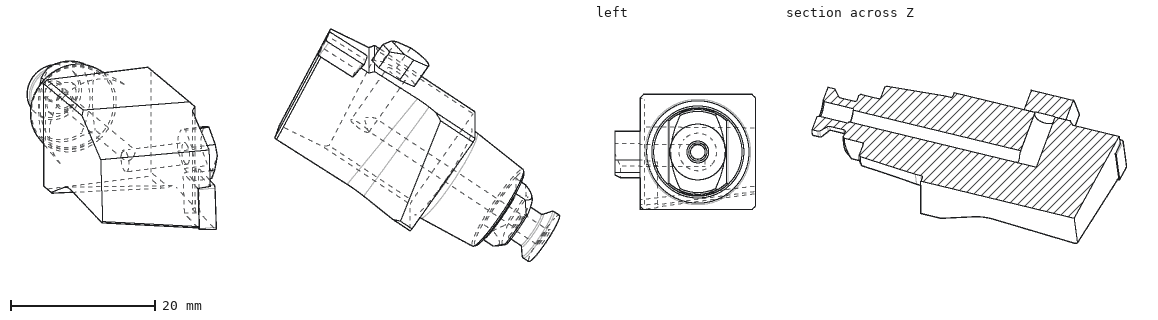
import cadquery as cq
import math


HEAD_SIDE = 16.0
HALF_SIDE = HEAD_SIDE / 2
HEAD_EDGE_CHAMFER = 0.5
TIP_X = 25.0

SLOPE_ANGLE = 30
END_ANGLE = 5
RELIEF_ANGLE = 25
CLEARANCE_ANGLE = 7
CORNER_CUT = 0.35
NEAR_SLOPE_TOP_X = 13.85
NEAR_SLOPE_END_X = 21.92
NEAR_UNDERSIDE_Z = -3.82
NEAR_RELIEF_START_X = 1.85
NEAR_RELIEF_RADIUS = 5.45
FAR_SLOPE_TOP_X = 16.05
FAR_RELIEF_START_X = 5.55
FAR_RELIEF_RADIUS = 3.85

INSERT_CORNER_ANGLE = 80
INSERT_INSCRIBED_DIAMETER = 6.35
INSERT_THICKNESS = 2.4
INSERT_NOSE_RADIUS = 0.4

RECESS_START_X = 16.85
RECESS_FLOOR_X = 17.4
RECESS_DEPTH = 0.65

TAPER_START_X = -9.25
TAPER_END_X = -1.0
TAPER_SMALL_RADIUS = 6.4
TAPER_LARGE_RADIUS = 7.1
TAPER_CHAMFER = 0.25
SHANK_ROOT_FILLET = 0.2

WRENCH_FRONT_X = -12.5
WRENCH_RADIUS = 5.9
WRENCH_ACROSS_FLATS = 8.0
WRENCH_CHAMFER = 0.25
WRENCH_ROOT_FILLET = 0.15
FLAT_CONE_RADIUS = 9.25
FLAT_BEVEL = 0.25

KNOB_FRONT_X = -17.0
KNOB_RADIUS = 3.85
KNOB_RIM = 1.05
KNOB_CONE_LENGTH = 1.0
NECK_RADIUS = 2.6
KNOB_FILLET = 0.35
NECK_ROOT_FILLET = 0.25

MOUTH_RADIUS = 1.25
MOUTH_CHAMFER = 0.25
BORE_RADIUS = 1.0
CROSS_BORE_RADIUS = 1.5
CROSS_BORE_Z = -0.5

NOZZLE_X = 13.2
NOZZLE_Z = -0.15
NOZZLE_HEIGHT = 3.5
NOZZLE_ROUND_RADIUS = 3.05
NOZZLE_HALF_WIDTH = 2.48
NOZZLE_ANGLE = -36
NOZZLE_SIDE_END = 1.18
NOZZLE_TIP = 4.4
NOZZLE_TIP_HALF_WIDTH = 1.0
NOZZLE_BEVEL_LENGTH = 1.75
NOZZLE_BEVEL_HEIGHT = 0.75


def tan(degrees):
    return math.tan(math.radians(degrees))


def xz_plane(y):
    """Plane at the given y whose local axes are X and Z; its normal points to -Y."""
    return cq.Workplane("XZ", origin=(0, y, 0))


def head_outline(y, slope_top_x, slope_end_x, underside_z, relief_start_x, relief_radius):
    """Outline of the head at one y, as a wire.

    underside_z is the height of the nose underside extended to x = 0.
    """
    lean = tan(END_ANGLE)
    slope_end_z = HALF_SIDE - (slope_end_x - slope_top_x) * tan(SLOPE_ANGLE)

    corner_x = (slope_end_x + (slope_end_z - underside_z) * lean) / (1 - lean**2)
    corner_z = underside_z - corner_x * lean

    rise = tan(RELIEF_ANGLE)
    bend_x = (underside_z + HALF_SIDE + relief_start_x * rise) / (rise + lean)
    bend_z = underside_z - bend_x * lean
    turn = RELIEF_ANGLE + END_ANGLE
    setback = relief_radius * tan(turn / 2)
    end_angle = math.radians(END_ANGLE)
    relief_angle = math.radians(RELIEF_ANGLE)
    arc_right = (bend_x + setback * math.cos(end_angle), bend_z - setback * math.sin(end_angle))
    arc_left = (bend_x - setback * math.cos(relief_angle), bend_z - setback * math.sin(relief_angle))
    middle_angle = math.radians((RELIEF_ANGLE - END_ANGLE) / 2)
    sagitta_gap = relief_radius * (1 / math.cos(math.radians(turn / 2)) - 1)
    arc_middle = (
        bend_x + sagitta_gap * math.sin(middle_angle),
        bend_z - sagitta_gap * math.cos(middle_angle),
    )

    return (
        xz_plane(y)
        .moveTo(0, HALF_SIDE)
        .lineTo(slope_top_x, HALF_SIDE)
        .lineTo(slope_end_x, slope_end_z)
        .lineTo(corner_x - CORNER_CUT * lean, corner_z + CORNER_CUT)
        .lineTo(corner_x - CORNER_CUT, corner_z + CORNER_CUT * lean)
        .lineTo(*arc_right)
        .threePointArc(arc_middle, arc_left)
        .lineTo(relief_start_x, -HALF_SIDE)
        .lineTo(0, -HALF_SIDE)
        .close()
        .val()
    )


def make_head():
    lean_run = HEAD_SIDE * tan(CLEARANCE_ANGLE)
    near = head_outline(
        y=-HALF_SIDE,
        slope_top_x=NEAR_SLOPE_TOP_X,
        slope_end_x=NEAR_SLOPE_END_X,
        underside_z=NEAR_UNDERSIDE_Z,
        relief_start_x=NEAR_RELIEF_START_X,
        relief_radius=NEAR_RELIEF_RADIUS,
    )
    far = head_outline(
        y=HALF_SIDE,
        slope_top_x=FAR_SLOPE_TOP_X,
        slope_end_x=NEAR_SLOPE_END_X + lean_run,
        underside_z=NEAR_UNDERSIDE_Z - lean_run,
        relief_start_x=FAR_RELIEF_START_X,
        relief_radius=FAR_RELIEF_RADIUS,
    )
    ruled = True
    nose = cq.Workplane(cq.Solid.makeLoft([near, far], ruled))
    bar = (
        cq.Workplane("YZ")
        .rect(HEAD_SIDE, HEAD_SIDE)
        .extrude(TIP_X)
        .edges("|X")
        .chamfer(HEAD_EDGE_CHAMFER)
    )
    recess_floor_y = HALF_SIDE - RECESS_DEPTH
    recess = (
        cq.Workplane("XY", origin=(0, 0, -HALF_SIDE))
        .polyline([
            (RECESS_START_X, HALF_SIDE),
            (RECESS_FLOOR_X, recess_floor_y),
            (TIP_X, recess_floor_y),
            (TIP_X, HALF_SIDE),
        ])
        .close()
        .extrude(HEAD_SIDE)
    )
    return bar.intersect(nose).cut(recess)


def make_taper():
    chamfer_x = TAPER_START_X - TAPER_CHAMFER
    root_radius = TAPER_LARGE_RADIUS + SHANK_ROOT_FILLET
    diagonal = SHANK_ROOT_FILLET * math.sqrt(0.5)
    root_middle = (-SHANK_ROOT_FILLET + diagonal, root_radius - diagonal)
    return (
        cq.Workplane("XY")
        .moveTo(chamfer_x, 0)
        .lineTo(chamfer_x, TAPER_SMALL_RADIUS - TAPER_CHAMFER)
        .lineTo(TAPER_START_X, TAPER_SMALL_RADIUS)
        .lineTo(TAPER_END_X, TAPER_LARGE_RADIUS)
        .lineTo(-SHANK_ROOT_FILLET, TAPER_LARGE_RADIUS)
        .threePointArc(root_middle, (0, root_radius))
        .lineTo(0, 0)
        .close()
        .revolve(360, (0, 0, 0), (1, 0, 0))
    )


def make_wrench_section():
    length = TAPER_START_X - TAPER_CHAMFER - WRENCH_FRONT_X
    half_flats = WRENCH_ACROSS_FLATS / 2
    section = (
        cq.Workplane("YZ", origin=(WRENCH_FRONT_X, 0, 0))
        .circle(WRENCH_RADIUS)
        .extrude(length)
        .faces("<X")
        .chamfer(WRENCH_CHAMFER)
    )
    waist_radius = FLAT_CONE_RADIUS + half_flats
    cone_x = WRENCH_FRONT_X + FLAT_BEVEL + FLAT_CONE_RADIUS
    double_cone = (
        cq.Workplane("XY", origin=(cone_x, 0, 0))
        .polyline([
            (0, -half_flats),
            (FLAT_CONE_RADIUS, -half_flats),
            (waist_radius, 0),
            (FLAT_CONE_RADIUS, half_flats),
            (0, half_flats),
        ])
        .close()
        .revolve(360, (0, 0, 0), (0, 1, 0))
    )
    return section.intersect(double_cone)


def make_knob():
    neck_start_x = KNOB_FRONT_X + KNOB_RIM + KNOB_CONE_LENGTH
    knob = (
        cq.Workplane("XY")
        .polyline([
            (KNOB_FRONT_X, 0),
            (KNOB_FRONT_X, KNOB_RADIUS),
            (KNOB_FRONT_X + KNOB_RIM, KNOB_RADIUS),
            (neck_start_x, NECK_RADIUS),
            (WRENCH_FRONT_X, NECK_RADIUS),
            (WRENCH_FRONT_X, 0),
        ])
        .close()
        .revolve(360, (0, 0, 0), (1, 0, 0))
    )
    rim_and_neck = cq.selectors.BoxSelector(
        (KNOB_FRONT_X + KNOB_RIM / 2, -KNOB_RADIUS, -KNOB_RADIUS),
        (neck_start_x + KNOB_FILLET, KNOB_RADIUS, KNOB_RADIUS),
    )
    return knob.edges("%CIRCLE").edges(rim_and_neck).fillet(KNOB_FILLET)


def edges_in_plane(body, x, outer_radius):
    """Edges in the plane at x, except full circles of the outer radius or more."""
    longest = 2 * math.pi * outer_radius
    tolerance = 0.005

    def belongs(edge):
        box = edge.BoundingBox()
        flat = box.xlen < tolerance and abs(box.xmin - x) < tolerance
        return flat and edge.Length() < longest - tolerance

    return body.edges().filter(belongs)


def make_shank():
    taper_face_x = TAPER_START_X - TAPER_CHAMFER
    taper_face_radius = TAPER_SMALL_RADIUS - TAPER_CHAMFER
    shank = make_taper().union(make_wrench_section())
    wrench_root = edges_in_plane(shank, taper_face_x, taper_face_radius)
    shank = wrench_root.fillet(WRENCH_ROOT_FILLET).union(make_knob())
    neck_circle = cq.selectors.RadiusNthSelector(0)
    neck_root = edges_in_plane(shank, WRENCH_FRONT_X, taper_face_radius).edges("%CIRCLE").edges(neck_circle)
    return neck_root.fillet(NECK_ROOT_FILLET)


def make_coolant_passage():
    """Axial bore from the knob, meeting a blind cross bore under the nozzle."""
    axial = (
        cq.Workplane("XY")
        .polyline([
            (KNOB_FRONT_X, 0),
            (KNOB_FRONT_X, MOUTH_RADIUS + MOUTH_CHAMFER),
            (KNOB_FRONT_X + MOUTH_CHAMFER, MOUTH_RADIUS),
            (WRENCH_FRONT_X, MOUTH_RADIUS),
            (WRENCH_FRONT_X, BORE_RADIUS),
            (NOZZLE_X, BORE_RADIUS),
            (NOZZLE_X, 0),
        ])
        .close()
        .revolve(360, (0, 0, 0), (1, 0, 0))
    )
    cross = (
        xz_plane(HALF_SIDE)
        .center(NOZZLE_X, CROSS_BORE_Z)
        .circle(CROSS_BORE_RADIUS)
        .extrude(HALF_SIDE + BORE_RADIUS)
    )
    return axial.union(cross)


def make_insert():
    inscribed_radius = INSERT_INSCRIBED_DIAMETER / 2
    half_corner = math.radians(INSERT_CORNER_ANGLE / 2)
    half_long = inscribed_radius / math.sin(half_corner)
    half_short = inscribed_radius / math.cos(half_corner)

    nose_offset = (inscribed_radius - INSERT_NOSE_RADIUS) / math.sin(half_corner) * math.sqrt(0.5)
    center_x = TIP_X - INSERT_NOSE_RADIUS - nose_offset
    center_z = -HALF_SIDE + INSERT_NOSE_RADIUS + nose_offset
    rhombus = (
        cq.Sketch()
        .polygon([
            (half_long, 0), (0, half_short), (-half_long, 0), (0, -half_short), (half_long, 0),
        ])
        .vertices()
        .fillet(INSERT_NOSE_RADIUS)
    )
    return (
        xz_plane(HALF_SIDE)
        .center(center_x, center_z)
        .transformed(rotate=(0, 0, -45))
        .placeSketch(rhombus)
        .extrude(INSERT_THICKNESS, taper=CLEARANCE_ANGLE)
    )


def make_holder(insert):
    return make_head().union(make_shank()).cut(make_coolant_passage()).cut(insert)


def make_nozzle():
    """Round head with a tapered snout; local x runs along the snout, local y across it."""
    top_y = HALF_SIDE + NOZZLE_HEIGHT
    round_end = -math.sqrt(NOZZLE_ROUND_RADIUS**2 - NOZZLE_HALF_WIDTH**2)
    body = (
        xz_plane(top_y)
        .center(NOZZLE_X, NOZZLE_Z)
        .transformed(rotate=(0, 0, NOZZLE_ANGLE))
        .moveTo(round_end, NOZZLE_HALF_WIDTH)
        .lineTo(NOZZLE_SIDE_END, NOZZLE_HALF_WIDTH)
        .lineTo(NOZZLE_TIP, NOZZLE_TIP_HALF_WIDTH)
        .lineTo(NOZZLE_TIP, -NOZZLE_TIP_HALF_WIDTH)
        .lineTo(NOZZLE_SIDE_END, -NOZZLE_HALF_WIDTH)
        .lineTo(round_end, -NOZZLE_HALF_WIDTH)
        .threePointArc((-NOZZLE_ROUND_RADIUS, 0), (round_end, NOZZLE_HALF_WIDTH))
        .close()
        .extrude(NOZZLE_HEIGHT)
    )
    tip_bevel = (
        cq.Workplane("XY")
        .polyline([
            (NOZZLE_TIP - NOZZLE_BEVEL_LENGTH, top_y),
            (NOZZLE_TIP, top_y),
            (NOZZLE_TIP, top_y - NOZZLE_BEVEL_HEIGHT),
        ])
        .close()
        .extrude(NOZZLE_HALF_WIDTH, both=True)
        .rotate((0, 0, 0), (0, 1, 0), -NOZZLE_ANGLE)
        .translate((NOZZLE_X, 0, NOZZLE_Z))
    )
    return body.cut(tip_bevel)


insert = make_insert()
holder = make_holder(insert)
nozzle = make_nozzle()

result = cq.Compound.makeCompound([holder.val(), insert.val(), nozzle.val()])